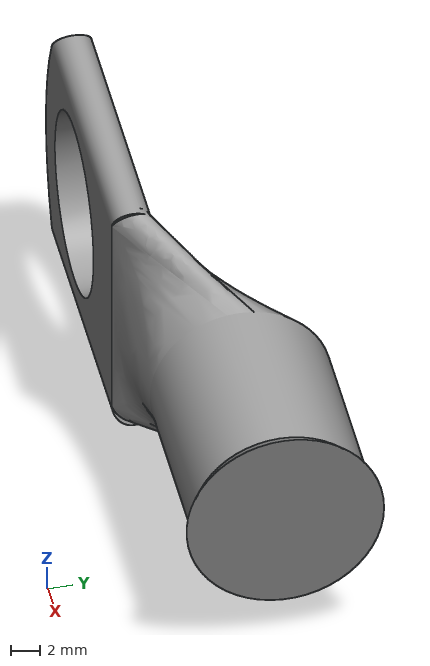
import cadquery as cq
import math


length = 46.9
depth = 14.08
width = 18.55

barrel_radius = 6.4
barrel_start = 31.7
flare_radius = 6.95
flare_length = 1.05
flare_start = length - flare_length

thickness = 2.8
tip_drop = 2.8
hole_diameter = 13.1
hole_x = 9.65
flat_length = 22.4
edge_length = 23.05
outer_y = flare_radius - depth
inner_y = outer_y + thickness
tongue_y = (inner_y + outer_y) / 2
flat_half = (width - thickness) / 2

strip_half = 0.95


def make_tongue():
    """Round-edged bar with an arched tip, flared rear corners and a bolt hole."""
    bar = (
        cq.Workplane("YZ")
        .center(tongue_y, 0)
        .slot2D(width, thickness, 90)
        .extrude(length)
    )
    outline = (
        cq.Workplane("XZ")
        .moveTo(tip_drop, -width / 2)
        .threePointArc((0, 0), (tip_drop, width / 2))
        .lineTo(edge_length, width / 2)
        .lineTo(flat_length, flat_half)
        .lineTo(flat_length, -flat_half)
        .lineTo(edge_length, -width / 2)
        .close()
        .extrude(depth, both=True)
    )
    hole = (
        cq.Workplane("XZ")
        .center(hole_x, 0)
        .circle(hole_diameter / 2)
        .extrude(depth, both=True)
    )
    return bar.intersect(outline).cut(hole)


def make_transition():
    """Ruled blend from the rounded bar section to the barrel circle."""
    half_thickness = thickness / 2
    strip_z = math.sqrt(barrel_radius**2 - strip_half**2)
    tongue_end = (
        cq.Workplane("YZ", origin=(flat_length, tongue_y, 0))
        .moveTo(-half_thickness, -flat_half)
        .threePointArc((0, -width / 2), (half_thickness, -flat_half))
        .lineTo(half_thickness, flat_half)
        .threePointArc((0, width / 2), (-half_thickness, flat_half))
        .close()
        .val()
    )
    barrel_end = (
        cq.Workplane("YZ", origin=(barrel_start, 0, 0))
        .moveTo(-strip_half, -strip_z)
        .threePointArc((0, -barrel_radius), (strip_half, -strip_z))
        .threePointArc((barrel_radius, 0), (strip_half, strip_z))
        .threePointArc((0, barrel_radius), (-strip_half, strip_z))
        .threePointArc((-barrel_radius, 0), (-strip_half, -strip_z))
        .close()
        .val()
    )
    return cq.Workplane(cq.Solid.makeLoft([tongue_end, barrel_end], True))


def make_barrel():
    """Solid round barrel that flares out at its end."""
    return (
        cq.Workplane("XY")
        .moveTo(barrel_start, 0)
        .lineTo(barrel_start, barrel_radius)
        .lineTo(flare_start, barrel_radius)
        .lineTo(length, flare_radius)
        .lineTo(length, 0)
        .close()
        .revolve(360, (0, 0, 0), (1, 0, 0))
    )


result = make_tongue().union(make_transition()).union(make_barrel())